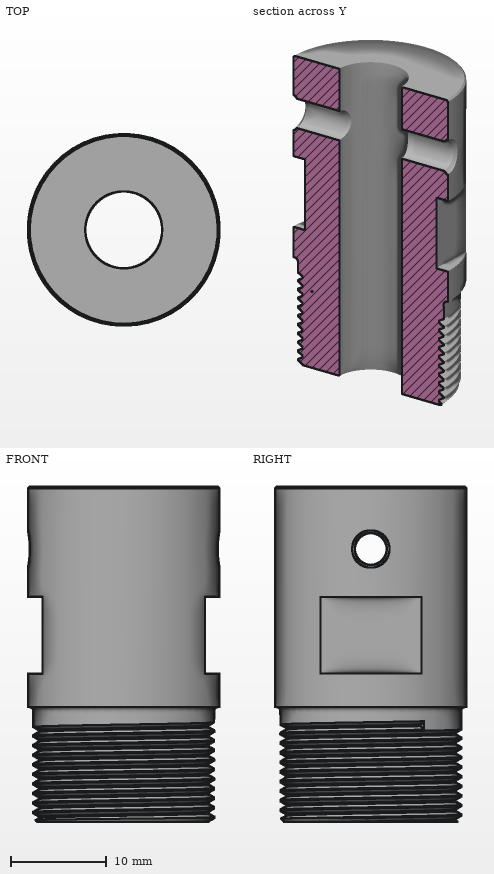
import cadquery as cq
import math

total_length = 35.0
body_diameter = 20.0
body_radius = body_diameter / 2
bore_diameter = 8.0
top_chamfer = 0.2

spigot_length = 12.0
spigot_diameter = 18.9
spigot_radius = spigot_diameter / 2
shoulder_fillet = 0.35
end_chamfer = 0.45

thread_pitch = 1.0
thread_length = 10.1
flank_slope = math.tan(math.radians(30))
crest_width = thread_pitch / 8
depth_factor = 0.613
thread_depth = depth_factor * thread_pitch
groove_overshoot = 0.05

seam_angle = 200.0

flat_spacing = 17.0
flat_bottom = 15.5
flat_height = 8.0

cross_hole_diameter = 3.3
countersink_diameter = 3.9
cross_hole_height = 28.5


def make_blank():
    """Stepped round blank, Z = 0 at the threaded end."""
    spigot = (
        cq.Workplane("XY")
        .circle(spigot_radius)
        .extrude(spigot_length)
        .faces("<Z")
        .chamfer(end_chamfer)
    )
    body = (
        cq.Workplane("XY")
        .workplane(offset=spigot_length)
        .circle(body_radius)
        .extrude(total_length - spigot_length)
        .faces(">Z")
        .chamfer(top_chamfer)
    )
    blank = spigot.union(body)
    in_shoulder_plane = cq.selectors.BoxSelector(
        (-body_diameter, -body_diameter, spigot_length - shoulder_fillet),
        (body_diameter, body_diameter, spigot_length + shoulder_fillet),
    )
    inside_corner = cq.selectors.RadiusNthSelector(0)
    blank = blank.edges("%CIRCLE").edges(in_shoulder_plane).edges(inside_corner).fillet(shoulder_fillet)
    return blank.rotate((0, 0, 0), (0, 0, 1), seam_angle)


def make_thread_groove():
    """Helical groove that starts one turn below the end face on the +X side."""
    root_radius = spigot_radius - thread_depth
    outer_radius = spigot_radius + groove_overshoot
    half_mouth = (thread_pitch - crest_width) / 2 + groove_overshoot * flank_slope
    half_root = half_mouth - (outer_radius - root_radius) * flank_slope
    path = cq.Wire.makeHelix(thread_pitch, thread_length + thread_pitch, root_radius)
    groove = (
        cq.Workplane("XZ")
        .polyline([
            (root_radius, -half_root),
            (outer_radius, -half_mouth),
            (outer_radius, half_mouth),
            (root_radius, half_root),
        ])
        .close()
        .sweep(cq.Workplane(obj=path), isFrenet=True)
    )
    return groove.translate((0, 0, -thread_pitch))


def make_bore():
    return cq.Workplane("XY").circle(bore_diameter / 2).extrude(total_length)


def make_flat_cutter(side):
    """Block outside one wrench flat; side is -1 or +1 along X."""
    cutter_depth = body_radius
    center_x = side * (flat_spacing + cutter_depth) / 2
    return (
        cq.Workplane("XY")
        .box(cutter_depth, body_diameter, flat_height)
        .translate((center_x, 0, flat_bottom + flat_height / 2))
    )


def make_cross_hole():
    """Through hole with a 45 degree cone at each mouth, turned about its own axis."""
    hole_radius = cross_hole_diameter / 2
    sink_radius = countersink_diameter / 2
    mouth_x = math.sqrt(body_radius**2 - sink_radius**2)
    cone_start = mouth_x - (sink_radius - hole_radius)
    return (
        cq.Workplane("XY")
        .polyline([
            (-body_radius, 0),
            (-body_radius, sink_radius),
            (-mouth_x, sink_radius),
            (-cone_start, hole_radius),
            (cone_start, hole_radius),
            (mouth_x, sink_radius),
            (body_radius, sink_radius),
            (body_radius, 0),
        ])
        .close()
        .revolve(360, (0, 0, 0), (1, 0, 0))
        .translate((0, 0, cross_hole_height))
    )


result = make_blank().cut(make_thread_groove()).cut(make_bore())
for flat_side in (-1, 1):
    result = result.cut(make_flat_cutter(flat_side))
result = result.cut(make_cross_hole())